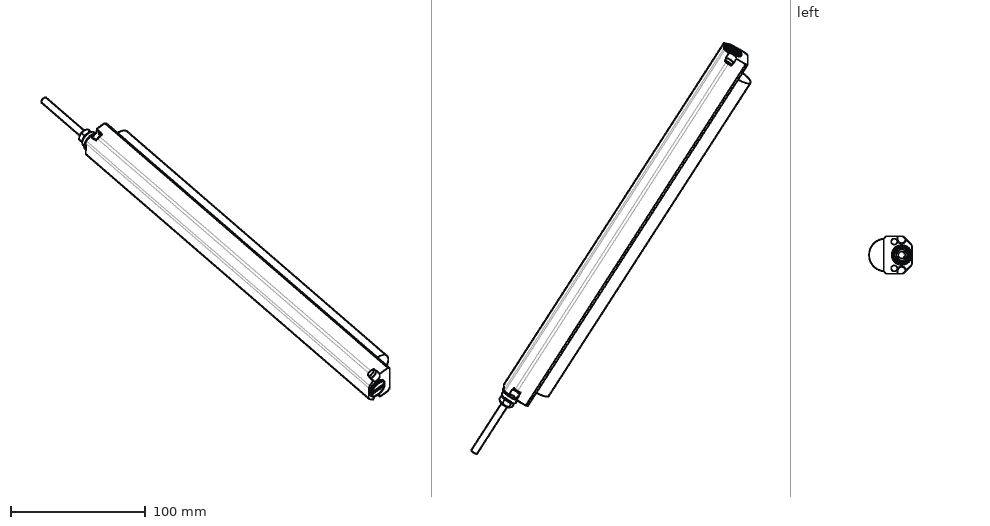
import cadquery as cq
import math


NUT_START = 43.5
NUT_END = 48.0
RING_START = 49.0
FLANGE_START = 52.5
HOUSING_START = 54.5
HOUSING_END = 366.5
PLUG_END = 368.5
LENS_START = 66.7
LENS_END = 353.0

HALF_HEIGHT = 14.0
FRONT_Y = -7.7
LENS_TOP_Y = 24.5
SEAT_Y = 13.3
SEAT_CHAMFER = 2.0
SEAT_HALF_HEIGHT = HALF_HEIGHT - SEAT_CHAMFER
FRONT_CHAMFER = 6.5
CHAMFER_EDGE_RADIUS = 3.0

NOTCH_CENTER_Z = 11.8
NOTCH_RADIUS = 3.5
NOTCH_LENGTH = 4.5
INNER_NOTCH_RADIUS = 3.0
INNER_NOTCH_LENGTH = 6.5

SCREW_HOLE_RADIUS = 2.2
SCREW_HOLE_DEPTH = 2.2
SCREW_HOLE_Y = 5.5
SCREW_HOLE_Z = 10.0

CABLE_RADIUS = 2.5
NUT_ACROSS_FLATS = 10.0
NUT_NOSE_RADIUS = 4.0
NUT_NOSE_LENGTH = 1.5
NECK_RADIUS = 4.5
RING_RADIUS = 6.3
FLANGE_RADIUS = 7.5

PLUG_RADIUS = 7.5
PLUG_CHAMFER = 0.7
PLUG_SLOT_WIDTH = 2.2
PLUG_SLOT_DEPTH = 1.5


def rod(radius, start, end, y=0, z=0):
    """Cylinder parallel to X."""
    return cq.Workplane("YZ", origin=(start, y, z)).circle(radius).extrude(end - start)


def make_beam():
    """Housing bar: chamfered at the front and beside the lens seat."""
    chamfer_y = FRONT_Y + FRONT_CHAMFER
    chamfer_z = HALF_HEIGHT - FRONT_CHAMFER
    beam = (
        cq.Workplane("YZ", origin=(HOUSING_START, 0, 0))
        .moveTo(FRONT_Y, -chamfer_z)
        .lineTo(chamfer_y, -HALF_HEIGHT)
        .lineTo(SEAT_Y - SEAT_CHAMFER, -HALF_HEIGHT)
        .lineTo(SEAT_Y, -SEAT_HALF_HEIGHT)
        .lineTo(SEAT_Y, SEAT_HALF_HEIGHT)
        .lineTo(SEAT_Y - SEAT_CHAMFER, HALF_HEIGHT)
        .lineTo(chamfer_y, HALF_HEIGHT)
        .lineTo(FRONT_Y, chamfer_z)
        .close()
        .extrude(HOUSING_END - HOUSING_START)
    )
    middle_x = (HOUSING_START + HOUSING_END) / 2
    for y, z in ((FRONT_Y, chamfer_z), (chamfer_y, HALF_HEIGHT)):
        for side in (-1, 1):
            edge = cq.selectors.NearestToPointSelector((middle_x, y, side * z))
            beam = beam.edges("|X").edges(edge).fillet(CHAMFER_EDGE_RADIUS)
    return beam


def round_bottom_slot(radius, start, end, side):
    """Slot along X with a round bottom, open towards the upper (+1) or lower (-1) face."""
    bottom = rod(radius, start, end, z=side * NOTCH_CENTER_Z)
    depth = HALF_HEIGHT - NOTCH_CENTER_Z
    middle = ((start + end) / 2, 0, side * (NOTCH_CENTER_Z + depth / 2))
    opening = cq.Workplane("XY", origin=middle).box(end - start, 2 * radius, depth)
    return bottom.union(opening)


def screw_notch(end_face, inward, side):
    """Stepped notch cut inwards (+1 or -1 along X) from an end face of the housing."""
    start, end = sorted((end_face, end_face + inward * NOTCH_LENGTH))
    outer_slot = round_bottom_slot(NOTCH_RADIUS, start, end, side)
    start, end = sorted((end_face, end_face + inward * INNER_NOTCH_LENGTH))
    return outer_slot.union(round_bottom_slot(INNER_NOTCH_RADIUS, start, end, side))


def make_gland():
    """Cable, hexagonal nut with a tapered nose, neck, ring and flange."""
    nut_diameter = NUT_ACROSS_FLATS / math.cos(math.pi / 6)
    nut = (
        cq.Workplane("YZ", origin=(NUT_START, 0, 0))
        .polygon(6, nut_diameter)
        .extrude(NUT_END - NUT_START)
    )
    taper_radius = nut_diameter / 2
    envelope = (
        cq.Workplane("XY")
        .moveTo(NUT_START, 0)
        .lineTo(NUT_START, NUT_NOSE_RADIUS)
        .lineTo(NUT_START + NUT_NOSE_LENGTH, taper_radius)
        .lineTo(NUT_END, taper_radius)
        .lineTo(NUT_END, 0)
        .close()
        .revolve(360, (0, 0, 0), (1, 0, 0))
    )
    gland = rod(CABLE_RADIUS, 0, NUT_START).union(nut.intersect(envelope))
    gland = gland.union(rod(NECK_RADIUS, NUT_END, RING_START))
    gland = gland.union(rod(RING_RADIUS, RING_START, FLANGE_START))
    return gland.union(rod(FLANGE_RADIUS, FLANGE_START, HOUSING_START))


def make_plug():
    """End plug with a slot across it along Y."""
    slot = cq.Workplane("XY").box(
        PLUG_SLOT_DEPTH, 2 * PLUG_RADIUS, PLUG_SLOT_WIDTH, centered=(False, True, True)
    )
    plug = rod(PLUG_RADIUS, HOUSING_END, PLUG_END).faces(">X").chamfer(PLUG_CHAMFER)
    return plug.cut(slot.translate((PLUG_END - PLUG_SLOT_DEPTH, 0, 0)))


def make_housing():
    housing = make_beam()
    for side in (-1, 1):
        for end_face, inward in ((HOUSING_START, 1), (HOUSING_END, -1)):
            housing = housing.cut(screw_notch(end_face, inward, side))
        hole_end = HOUSING_START + SCREW_HOLE_DEPTH
        housing = housing.cut(
            rod(SCREW_HOLE_RADIUS, HOUSING_START, hole_end, SCREW_HOLE_Y, side * SCREW_HOLE_Z)
        )
    return housing.union(make_gland()).union(make_plug())


def make_lens():
    """Segment of a cylinder standing on the lens seat."""
    return (
        cq.Workplane("YZ", origin=(LENS_START, 0, 0))
        .moveTo(SEAT_Y, -SEAT_HALF_HEIGHT)
        .threePointArc((LENS_TOP_Y, 0), (SEAT_Y, SEAT_HALF_HEIGHT))
        .close()
        .extrude(LENS_END - LENS_START)
    )


housing = make_housing()
lens = make_lens()

result = cq.Compound.makeCompound([housing.val(), lens.val()])